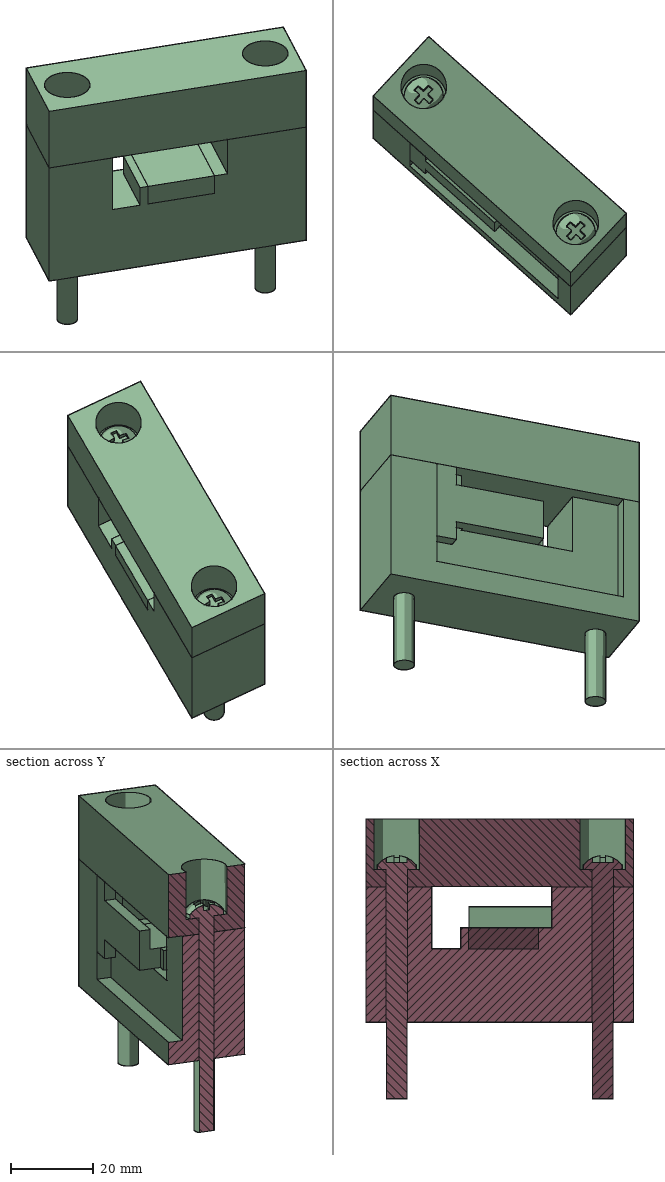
import cadquery as cq

thickness = 20.0
length = 65.0
height = 68.0
housing_bottom = 18.6
housing_top = 51.55
front = -thickness / 2
back = thickness / 2

recess_depth = 3.6
recess_bottom = 24.55
recess_left = 20.5
recess_right = -28.35

window_left = 12.6
window_right = -16.45
window_sill = 36.5

plate_thickness = 2.85
tab_inner = 15.4
tab_bottom = 31.6
neck_depth = 5.5
arm_end = -7.5
arm_top = 46.7
tongue_top = 41.6
tongue_left = 9.3
neck_back = front + neck_depth

guide_end = -9.5

screw_offset = 25.0
shank_diameter = 5.0
head_diameter = 9.5
head_edge_height = 1.0
head_height = 3.4
counterbore_diameter = 11.0
seat = 55.75
cross_length = 4.95
cross_width = 1.4
cross_depth = 1.7


def box_between(x_range, y_range, z_range):
    """Box given by its two limits along each axis."""
    x0, x1 = x_range
    y0, y1 = y_range
    z0, z1 = z_range
    return cq.Workplane("XY").box(x1 - x0, y1 - y0, z1 - z0, centered=False).translate((x0, y0, z0))


def vertical_cylinder(diameter, y, bottom, top):
    """Cylinder along Z on the middle plane of the block."""
    return cq.Workplane("XY", origin=(0, y, bottom)).circle(diameter / 2).extrude(top - bottom)


def make_housing():
    half = length / 2
    body = box_between((front, back), (-half, half), (housing_bottom, housing_top))
    recess = box_between(
        (front, front + recess_depth), (recess_right, recess_left), (recess_bottom, housing_top)
    )
    window = box_between((front, back), (window_right, window_left), (window_sill, housing_top))
    body = body.cut(recess).cut(window)
    for guide_range in ((guide_end, arm_end), (tongue_left, window_left)):
        body = body.union(box_between((neck_back, back), guide_range, (window_sill, tongue_top)))
    for y in (-screw_offset, screw_offset):
        body = body.cut(vertical_cylinder(shank_diameter, y, housing_bottom, housing_top))
    return body


def make_cap():
    half = length / 2
    body = box_between((front, back), (-half, half), (housing_top, height))
    for y in (-screw_offset, screw_offset):
        body = body.cut(vertical_cylinder(shank_diameter, y, housing_top, height))
        body = body.cut(vertical_cylinder(counterbore_diameter, y, seat, height))
    return body


def make_slider():
    tab = box_between((front, front + plate_thickness), (tab_inner, recess_left), (tab_bottom, housing_top))
    arm = box_between((front, front + plate_thickness), (arm_end, tab_inner), (window_sill, arm_top))
    neck = box_between((front, neck_back), (arm_end, window_left), (window_sill, tongue_top))
    tongue = box_between((neck_back, back), (arm_end, tongue_left), (window_sill, tongue_top))
    return tab.union(arm).union(neck).union(tongue)


def make_screw(y):
    """Domed cross-head screw whose shank reaches down to Z = 0."""
    head_radius = head_diameter / 2
    shank_radius = shank_diameter / 2
    dome_rise = head_height - head_edge_height
    dome_radius = (head_radius**2 + dome_rise**2) / (2 * dome_rise)
    head_top = seat + head_height
    mid_radius = head_radius / 2
    mid_height = head_top - dome_radius + (dome_radius**2 - mid_radius**2) ** 0.5
    screw = (
        cq.Workplane("XZ")
        .moveTo(0, 0)
        .lineTo(shank_radius, 0)
        .lineTo(shank_radius, seat)
        .lineTo(head_radius, seat)
        .lineTo(head_radius, seat + head_edge_height)
        .threePointArc((mid_radius, mid_height), (0, head_top))
        .close()
        .revolve(360, (0, 0), (0, 1))
    )
    for size_x, size_y in ((cross_length, cross_width), (cross_width, cross_length)):
        slot = cq.Workplane("XY", origin=(0, 0, head_top - cross_depth)).rect(size_x, size_y)
        screw = screw.cut(slot.extrude(cross_depth))
    return screw.translate((0, y, 0))


housing = make_housing()
cap = make_cap()
slider = make_slider()
screws = [make_screw(y) for y in (-screw_offset, screw_offset)]

result = cq.Compound.makeCompound(
    [housing.val(), cap.val(), slider.val(), *[screw.val() for screw in screws]]
)